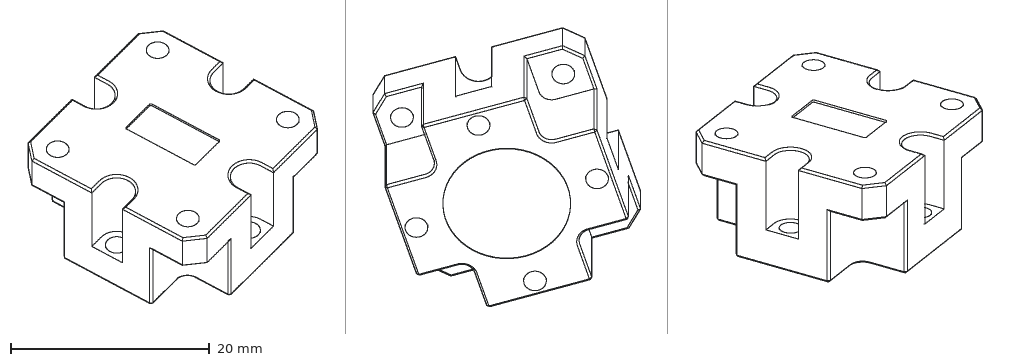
import cadquery as cq

side = 22.35
total_height = 12.25
pad_height = 0.1
pad_diameter = 12.85
half_side = side / 2

flange_height = 4.02
corner_cut = 1.79
flange_bottom = total_height - flange_height

leg_width = 11.09
relief_radius = 1.35

bevel = 0.25

slot_width = 3.8
slot_depth = 8.07
slot_center_inset = 1.63
slot_hole_inset = 1.65

hole_diameter = 2.28
corner_hole_spacing_x = 16.25
corner_hole_spacing_y = 17.0

recess_length = 8.72
recess_width = 4.3
recess_depth = 0.25
recess_corner_radius = 0.2


def make_flanged_block():
    block = (
        cq.Workplane("XY", origin=(0, 0, pad_height))
        .rect(side, side)
        .extrude(total_height - pad_height)
        .edges("|Z")
        .chamfer(corner_cut)
    )
    relief_size = side - leg_width
    reliefs = (
        cq.Workplane("XY", origin=(0, 0, pad_height))
        .rect(side, side, forConstruction=True)
        .vertices()
        .rect(relief_size, relief_size)
        .extrude(flange_bottom - pad_height)
        .edges("|Z")
        .fillet(relief_radius)
    )
    return block.cut(reliefs)


def is_outer_lower_edge(edge):
    """True for the base outline and for the convex relief edges on the outside of the block."""
    center = edge.Center()
    tolerance = 0.002
    on_base = center.z < pad_height + tolerance
    below_flange = center.z < flange_bottom + tolerance
    on_outside = max(abs(center.x), abs(center.y)) > half_side - corner_cut
    return on_base or (below_flange and on_outside)


def bevel_lower_edges(block):
    lower_edges = block.edges().filter(is_outer_lower_edge)
    return lower_edges.chamfer(bevel)


def make_slots():
    slot_center = half_side - slot_center_inset
    round_end = (
        cq.Workplane("XY", origin=(slot_center, 0, total_height))
        .circle(slot_width / 2)
        .extrude(-slot_depth)
    )
    straight_part = (
        cq.Workplane("XY", origin=(half_side, 0, total_height))
        .rect(2 * slot_center_inset, slot_width)
        .extrude(-slot_depth)
    )
    slot = round_end.union(straight_part)
    slots = cq.Workplane("XY")
    for quarter_turn in range(4):
        slots = slots.add(slot.rotate((0, 0, 0), (0, 0, 1), 90 * quarter_turn))
    return slots.combine()


def make_holes():
    hole_reach = half_side - slot_hole_inset
    return (
        cq.Workplane("XY")
        .polarArray(hole_reach, 0, 360, 4)
        .circle(hole_diameter / 2)
        .extrude(total_height)
        .union(
            cq.Workplane("XY")
            .rarray(corner_hole_spacing_x, corner_hole_spacing_y, 2, 2)
            .circle(hole_diameter / 2)
            .extrude(total_height)
        )
    )


def make_recess():
    return (
        cq.Workplane("XY", origin=(0, 0, total_height))
        .rect(recess_length, recess_width)
        .extrude(-recess_depth)
        .edges("|Z")
        .fillet(recess_corner_radius)
    )


body = bevel_lower_edges(make_flanged_block())
body = body.cut(make_slots())
body = body.faces(">Z").edges().chamfer(bevel)

pad = cq.Workplane("XY").circle(pad_diameter / 2).extrude(pad_height)

result = body.union(pad).cut(make_holes()).cut(make_recess())